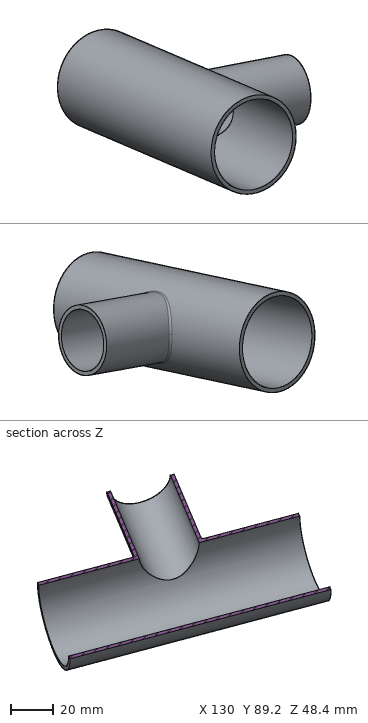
import cadquery as cq

run_length = 130.0
run_outer_diameter = 48.4
run_inner_diameter = 44.3
branch_outer_diameter = 33.7
branch_inner_diameter = 29.6
branch_reach = run_length / 2
joint_fillet_radius = 1.0


def run_cylinder(diameter):
    """Cylinder along X, centred on the origin."""
    return cq.Workplane("YZ").circle(diameter / 2).extrude(run_length / 2, both=True)


def branch_cylinder(diameter):
    """Cylinder along +Y, from the run axis to the branch end."""
    return cq.Workplane("XZ").circle(diameter / 2).extrude(-branch_reach)


def tee(run_diameter, branch_diameter):
    """Solid run and branch joined into one body."""
    return run_cylinder(run_diameter).union(branch_cylinder(branch_diameter))


def fillet_joint(body):
    """Round the inside corner where the branch meets the outside of the run."""
    near_joint = cq.selectors.BoxSelector(
        (-branch_outer_diameter, 0, -branch_outer_diameter),
        (branch_outer_diameter, run_outer_diameter, branch_outer_diameter),
        boundingbox=True,
    )
    return body.edges(near_joint).fillet(joint_fillet_radius)


outer_body = fillet_joint(tee(run_outer_diameter, branch_outer_diameter))
bores = tee(run_inner_diameter, branch_inner_diameter)

result = outer_body.cut(bores)